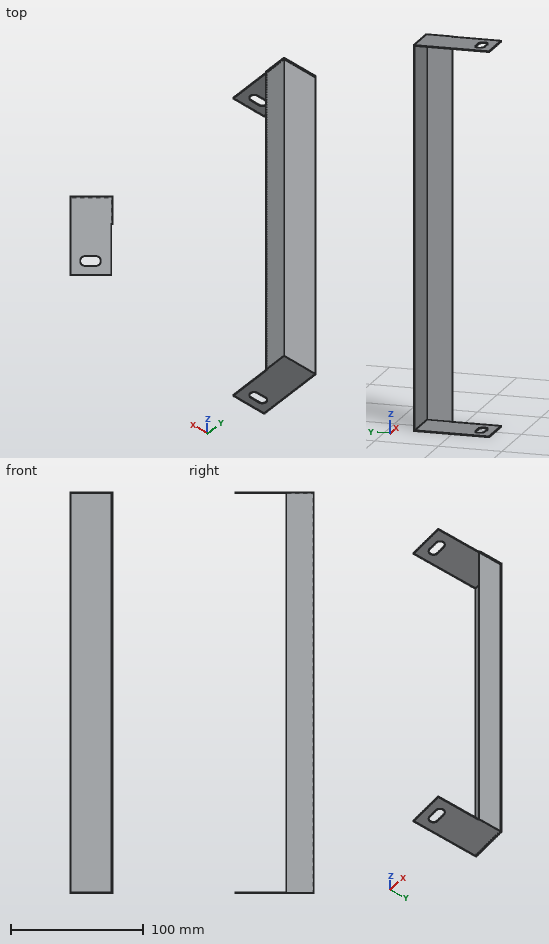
import cadquery as cq

width = 31.7
depth = 59.0
height = 301.5
sheet = 0.8

flange_depth = 20.8

tab_width = width - sheet

slot_length = 15.5
slot_width = 7.2
slot_from_front = 10.5
slot_from_side = 15.0


def corner_box(size_x, size_y, size_z, x=0, y=0, z=0):
    """Box with its minimum corner at (x, y, z)."""
    return cq.Workplane("XY").box(size_x, size_y, size_z, centered=False).translate((x, y, z))


def end_tab(z):
    """Slotted tab whose lower face is at height z."""
    slot = (
        cq.Workplane("XY")
        .center(slot_from_side, slot_from_front)
        .slot2D(slot_length, slot_width)
        .extrude(sheet)
        .translate((0, 0, z))
    )
    return corner_box(tab_width, depth, sheet, z=z).cut(slot)


back_wall = corner_box(width, sheet, height, y=depth - sheet)
side_flange = corner_box(sheet, flange_depth, height, x=tab_width, y=depth - flange_depth)

result = back_wall.union(side_flange)
for tab_bottom in (0, height - sheet):
    result = result.union(end_tab(tab_bottom))